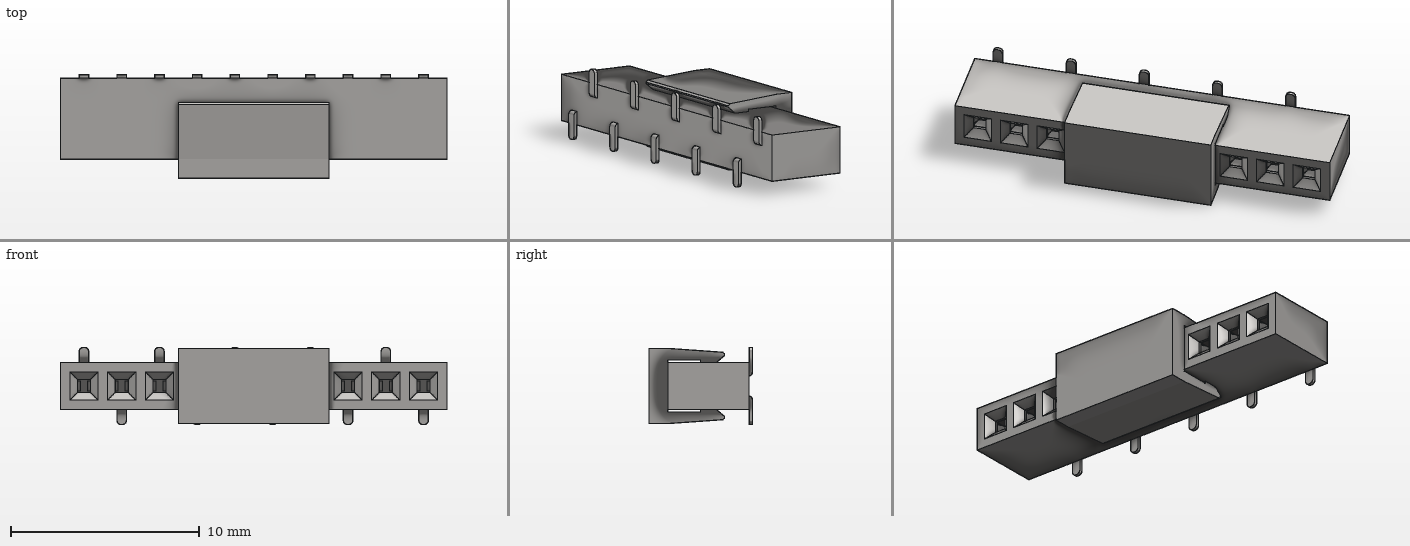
import cadquery as cq
import math


body_length = 20.5
body_depth = 4.3
body_height = 2.5
body_top = body_height / 2

contact_count = 10
end_margin = 1.25
pitch = (body_length - 2 * end_margin) / (contact_count - 1)
contact_positions = [end_margin + pitch * i - body_length / 2 for i in range(contact_count)]

mouth_width = 1.5
throat_width = 0.68
funnel_depth = 0.4
lip_depth = 0.16
chamber_width = 0.72
spring_length = 0.62
spring_height = 0.53
spring_gap = 0.37

tail_thickness = 0.18
tail_width = 0.51
tail_tip_radius = 0.23
tail_bend_radius = 0.25
tail_reach = 2.05
tail_start = 0.51

cap_length = 8.0
cap_height = 4.0
cap_thickness = 1.0
cap_top = cap_height / 2
arm_clearance = 0.12
arm_taper = 0.2
slot_length = 1.72
pad_end = 2.58
arm_length = 3.01
tip_chamfer = 0.1
tip_lift = 0.37


def make_housing():
    return cq.Workplane("XY").box(body_length, body_depth, body_height).translate((0, body_depth / 2, 0))


def make_taper(x, y, front_size, back_size, depth):
    """Solid going back from depth y, whose (width, height) section changes from front to back."""
    return (
        cq.Workplane("XZ", origin=(x, y, 0))
        .rect(*front_size)
        .workplane(offset=-depth)
        .rect(*back_size)
        .loft(combine=True, ruled=True)
    )


def make_socket(x):
    """Empty space of a socket: a lead-in funnel, a short lip and a chamber pinched by two side springs."""
    mouth = (mouth_width, mouth_width)
    throat = (throat_width, throat_width)
    chamber_section = (chamber_width, chamber_width)
    spring_band = (chamber_width, spring_height)
    gap_section = (spring_gap, spring_height)
    chamber_start = funnel_depth + lip_depth

    funnel = make_taper(x, 0, mouth, throat, funnel_depth)
    lip = make_taper(x, funnel_depth, throat, throat, lip_depth)
    chamber = make_taper(x, chamber_start, chamber_section, chamber_section, spring_length)
    spring_space = make_taper(x, chamber_start, spring_band, spring_band, spring_length)
    gap = make_taper(x, chamber_start, spring_band, gap_section, spring_length)
    springs = spring_space.cut(gap)
    return funnel.union(lip).union(chamber.cut(springs))


def make_tail(x, direction):
    """Flat solder tail with a round end, bent where it leaves the housing; direction is +1 up, -1 down."""
    arc_drop = tail_bend_radius * (1 - math.sqrt(0.5))
    back = body_depth + tail_thickness
    root = back - tail_bend_radius
    bend_top = tail_start + tail_bend_radius
    strip = (
        cq.Workplane("YZ", origin=(x, 0, 0))
        .moveTo(root, tail_start)
        .threePointArc((back - arc_drop, tail_start + arc_drop), (back, bend_top))
        .lineTo(back, tail_reach)
        .lineTo(body_depth, tail_reach)
        .lineTo(body_depth, bend_top)
        .lineTo(root, bend_top)
        .close()
        .extrude(tail_width / 2, both=True)
        .edges("|Y and >Z")
        .fillet(tail_tip_radius)
    )
    return strip if direction > 0 else strip.mirror("XY")


def make_cap():
    """Front plate with a tapered, hooked arm above and below the housing."""
    slot_top = body_top + arm_clearance
    tip_top = cap_top - arm_taper
    upper_half = (
        cq.Workplane("YZ")
        .polyline(
            [
                (-cap_thickness, 0),
                (-cap_thickness, cap_top),
                (0, cap_top),
                (arm_length - tip_chamfer, tip_top),
                (arm_length, tip_top - tip_chamfer),
                (arm_length, body_top + tip_lift),
                (pad_end, body_top),
                (slot_length, body_top),
                (slot_length, slot_top),
                (0, slot_top),
                (0, 0),
            ]
        )
        .close()
        .extrude(cap_length / 2, both=True)
    )
    return upper_half.union(upper_half.mirror("XY"))


result = make_housing()

for x in contact_positions:
    if abs(x) > cap_length / 2:
        result = result.cut(make_socket(x))

for index, x in enumerate(contact_positions):
    result = result.union(make_tail(x, 1 if index % 2 == 0 else -1))

result = result.union(make_cap())